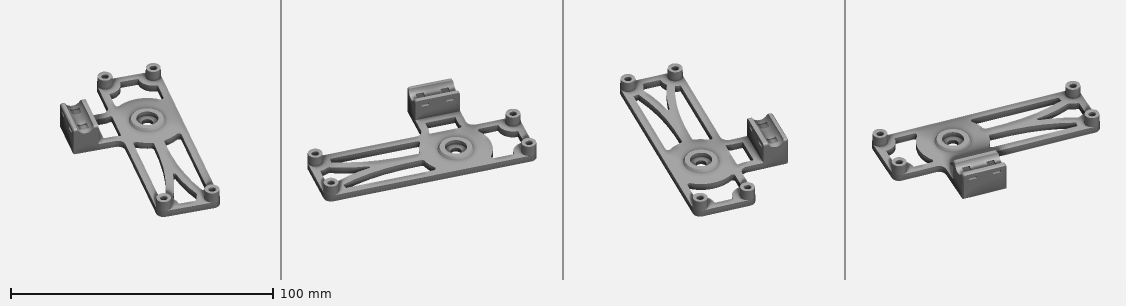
import cadquery as cq

LENGTH = 85.5
WIDTH = 25.2
THICKNESS = 2.8
RIM = 3.0
PAD_RADIUS = 6.0

HUB_X = 29.0
HUB_Y = 12.2
HUB_DISC_RADIUS = 14.1
HUB_BASE_DIAMETER = 14.0
HUB_TOP_DIAMETER = 12.5
HUB_HEIGHT = 1.0
HUB_RECESS_DIAMETER = 8.5
HUB_RECESS_DEPTH = 2.05
HUB_HOLE_DIAMETER = 4.3

BRACE_HALF_WIDTH = 2.05
FORK_START_X = 43.2
FORK_MIDDLE = (62.6, 3.4)
FORK_TIP = (77.5, 7.7)
FORK_TIP_SLOPE = 0.4
CROTCH_X = 63.85
CROTCH_HALF_WIDTH = 0.5
CROTCH_MIDDLE = (71.45, 2.1)
CROTCH_TIP = (79.5, 5.2)
WINDOW_FILLET = 1.0
ARM_ENDS_X = 75.3
EDGE_MARGIN = 0.4

STANDOFF_HEIGHT = 4.2
STANDOFF_BASE_DIAMETER = 2 * RIM
STANDOFF_TOP_DIAMETER = 5.6
STANDOFF_BORE = 2.7
STANDOFF_BORE_CHAMFER = 0.25

TAB_WIDTH = 18.0
TAB_LENGTH = 19.9
TAB_FILLET = 3.0
TAB_WINDOW_LENGTH = 6.9
TAB_WINDOW_FILLET = 0.6
BLOCK_DEPTH = 10.1
BLOCK_HEIGHT = 11.7
BLOCK_FILLET = 1.0
BLOCK_CHAMFER = 0.4
GROOVE_RADIUS = 3.4
GROOVE_DEPTH = 2.6
TIE_SLOT_WIDTH = 3.2
TIE_SLOT_HEIGHT = 1.0
TIE_SLOT_FLOOR = 8.7
TIE_SLOT_SPACING = 10.0

MIDDLE_Y = WIDTH / 2
HUB_TOP = THICKNESS + HUB_HEIGHT
TAB_LEFT = HUB_X - TAB_WIDTH / 2
TAB_RIGHT = HUB_X + TAB_WIDTH / 2
BLOCK_BACK_Y = BLOCK_DEPTH - TAB_LENGTH
CORNERS = [(x, y) for x in (RIM, LENGTH - RIM) for y in (RIM, WIDTH - RIM)]


def box(x0, x1, y0, y1, z0, z1):
    return cq.Workplane("XY").box(x1 - x0, y1 - y0, z1 - z0, centered=False).translate((x0, y0, z0))


def disc(x, y, radius):
    return cq.Workplane("XY").center(x, y).circle(radius).extrude(THICKNESS)


def make_brace():
    """Bar leaving the hub and splitting into two curved arms that reach the far corner pads."""
    pad_center = (LENGTH - RIM, MIDDLE_Y - RIM)
    half = (
        cq.Workplane("XY", origin=(0, MIDDLE_Y, 0))
        .moveTo(HUB_X, 0)
        .lineTo(HUB_X, BRACE_HALF_WIDTH)
        .lineTo(FORK_START_X, BRACE_HALF_WIDTH)
        .spline([FORK_MIDDLE, FORK_TIP], tangents=[(1, 0), (1, FORK_TIP_SLOPE)], includeCurrent=True)
        .lineTo(*pad_center)
        .lineTo(*CROTCH_TIP)
        .threePointArc(CROTCH_MIDDLE, (CROTCH_X, CROTCH_HALF_WIDTH))
        .lineTo(CROTCH_X, 0)
        .close()
        .extrude(THICKNESS)
    )
    return half.union(half.mirror("XZ", (0, MIDDLE_Y, 0)))


def make_frame_windows():
    """Openings left inside the rim by the pads, the hub disc and the brace."""
    windows = box(RIM, LENGTH - RIM, RIM, WIDTH - RIM, 0, THICKNESS)
    windows = windows.cut(disc(HUB_X, HUB_Y, HUB_DISC_RADIUS)).cut(make_brace())
    for x, y in CORNERS:
        windows = windows.cut(disc(x, y, PAD_RADIUS))
    beside_hub = cq.selectors.BoxSelector(
        (HUB_X - HUB_DISC_RADIUS, 0, 0), (FORK_START_X + EDGE_MARGIN, WIDTH, THICKNESS)
    )
    arm_ends = cq.selectors.BoxSelector(
        (ARM_ENDS_X, RIM + EDGE_MARGIN, 0),
        (LENGTH - RIM - EDGE_MARGIN, WIDTH - RIM - EDGE_MARGIN, THICKNESS),
    )
    return windows.edges("|Z").edges(beside_hub + arm_ends).fillet(WINDOW_FILLET)


def make_tab():
    """Tab flaring into the frame, with a window that keeps a bar of constant width on each side."""
    tab = box(TAB_LEFT - TAB_FILLET, TAB_RIGHT + TAB_FILLET, -TAB_FILLET, 0, 0, THICKNESS)
    tab = tab.union(box(TAB_LEFT, TAB_RIGHT, BLOCK_BACK_Y, 0, 0, THICKNESS))
    window = box(TAB_LEFT, TAB_RIGHT, -TAB_WINDOW_LENGTH, 0, 0, THICKNESS)
    window = window.cut(box(TAB_LEFT, TAB_LEFT + RIM, -TAB_LENGTH, -TAB_FILLET, 0, THICKNESS))
    window = window.cut(box(TAB_RIGHT - RIM, TAB_RIGHT, -TAB_LENGTH, -TAB_FILLET, 0, THICKNESS))
    for flare_x in (TAB_LEFT - TAB_FILLET, TAB_RIGHT + TAB_FILLET):
        tab = tab.cut(disc(flare_x, -TAB_FILLET, TAB_FILLET))
        window = window.cut(disc(flare_x, -TAB_FILLET, TAB_FILLET + RIM))
    window = window.edges("|Z and >Y").fillet(TAB_WINDOW_FILLET)
    return tab.cut(window)


def make_block():
    """Cable block with a round groove along X and two slots for cable ties."""
    block = box(TAB_LEFT, TAB_RIGHT, -TAB_LENGTH, BLOCK_BACK_Y, 0, BLOCK_HEIGHT)
    block = block.edges("|Y and >Z").fillet(BLOCK_FILLET)
    block = block.faces("<Y").edges().chamfer(BLOCK_CHAMFER)
    groove = (
        cq.Workplane("YZ", origin=(TAB_LEFT, 0, 0))
        .center(BLOCK_BACK_Y - BLOCK_DEPTH / 2, BLOCK_HEIGHT - GROOVE_DEPTH + GROOVE_RADIUS)
        .circle(GROOVE_RADIUS)
        .extrude(TAB_WIDTH)
    )
    block = block.cut(groove)
    for side in (-1, 1):
        slot_x = HUB_X + side * TIE_SLOT_SPACING / 2
        slot = box(
            slot_x - TIE_SLOT_WIDTH / 2, slot_x + TIE_SLOT_WIDTH / 2,
            -TAB_LENGTH, BLOCK_BACK_Y,
            TIE_SLOT_FLOOR, TIE_SLOT_FLOOR + TIE_SLOT_HEIGHT,
        )
        block = block.cut(slot)
    return block


def cone(base_diameter, top_diameter, height):
    return cq.Workplane("XY").add(cq.Solid.makeCone(base_diameter / 2, top_diameter / 2, height))


def make_standoff():
    """Tapered post with a blind bore that ends level with the plate's top."""
    post = cone(STANDOFF_BASE_DIAMETER, STANDOFF_TOP_DIAMETER, STANDOFF_HEIGHT)
    post = post.cut(cq.Workplane("XY").circle(STANDOFF_BORE / 2).extrude(STANDOFF_HEIGHT))
    bore_mouth = post.faces(">Z").edges(cq.selectors.RadiusNthSelector(0))
    return bore_mouth.chamfer(STANDOFF_BORE_CHAMFER)


frame = box(0, LENGTH, 0, WIDTH, 0, THICKNESS).edges("|Z").fillet(RIM).cut(make_frame_windows())
body = frame.union(make_tab()).union(make_block())

body = body.union(cone(HUB_BASE_DIAMETER, HUB_TOP_DIAMETER, HUB_HEIGHT).translate((HUB_X, HUB_Y, THICKNESS)))
hub_face = cq.Workplane("XY", origin=(HUB_X, HUB_Y, HUB_TOP))
body = body.cut(hub_face.circle(HUB_HOLE_DIAMETER / 2).extrude(-HUB_TOP))
body = body.cut(hub_face.circle(HUB_RECESS_DIAMETER / 2).extrude(-HUB_RECESS_DEPTH))

for corner_x, corner_y in CORNERS:
    body = body.union(make_standoff().translate((corner_x, corner_y, THICKNESS)))

result = body